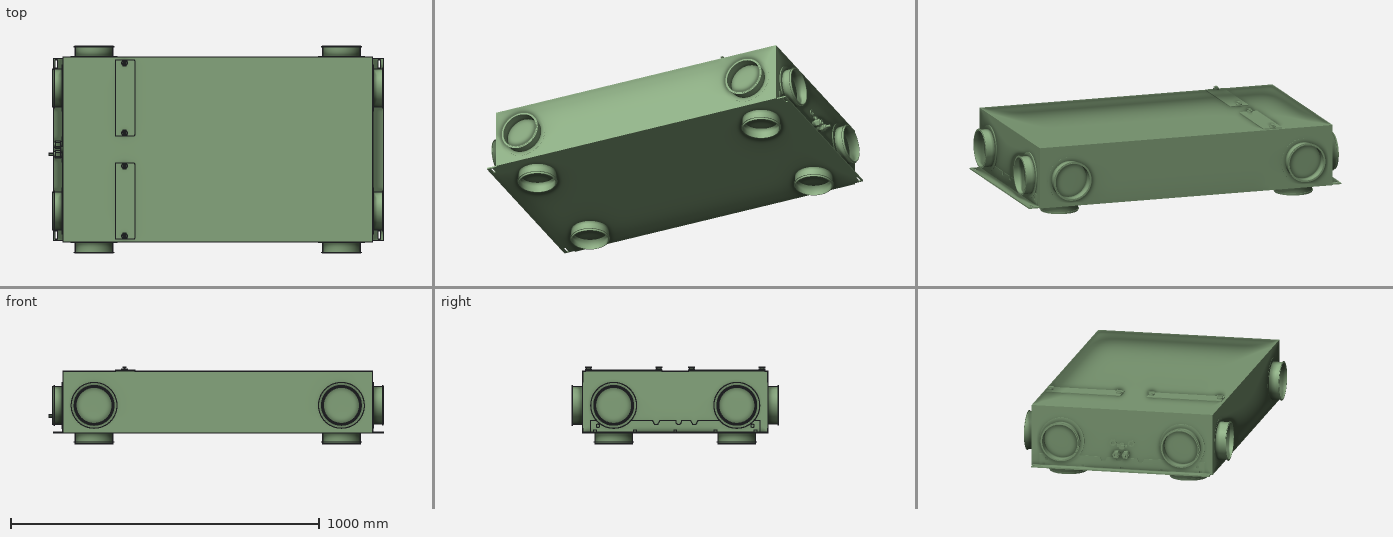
import cadquery as cq

body_length = 1003.0
body_width = 600.0
body_height = 200.0
end_x = body_length / 2
side_y = body_width / 2

duct_outer_d = 122.0
duct_inner_d = 117.0
duct_length = 35.0
bead_d = 129.0
bead_width = 1.0
near_bead_setback = 1.0
far_bead_setback = 5.0
collar_d = 149.0
side_collar_thickness = 0.5
end_collar_thickness = 3.0
duct_height = 90.0
duct_x = end_x - 101.0
duct_y = 199.0

flange_width = 590.0
flange_thickness = 4.0
flange_reach_left = 31.0
flange_reach_right = 36.0
upright_width = 547.0
upright_height = 41.0
upright_thickness = 2.0
slot_length = 26.0
slot_width = 8.0
slot_edge = 4.0
slot_offset = 22.0
relief_count = 5
relief_pitch = 130.0
relief_width = 9.0
relief_height = 11.0
screw_hole_d = 11.0
screw_hole_y = 250.0
screw_hole_z = 24.0
notch_y = 62.0
notch_width = 24.0
notch_floor_width = 11.0
notch_depth = 13.0
round_notch_y = 11.0
round_notch_width = 17.0

cover_length = 247.0
cover_width = 63.0
cover_thickness = 3.0
cover_corner_r = 5.0
cover_x = -end_x + 202.0
cover_y = 167.0
knob_x = cover_x - 2.0
knob_inset = 10.0
knob_base_d = 18.0
knob_base_height = 8.0
knob_height = 13.0
knob_stem = (4.0, 14.0)
knob_grip = (10.0, 20.0)
knob_grip_thickness = 1.0

gland_y = 15.7
gland_z = 55.0
gland_base_d = 21.0
gland_base_length = 8.0
gland_nut_d = 25.0
gland_nut_end = 25.0
gland_tip_d = 17.0
gland_tip_length = 31.0
gland_bore_d = 9.0
gland_bore_depth = 7.0
pipe_d = gland_bore_d
pipe_length = 45.0
port_y = 30.0
port_z = duct_height
port_d = 22.0
port_bore_d = 12.0
port_length = 3.0
plug_z = 80.0
plug_d = 22.0
plug_length = 7.0
plug_bar_width = 33.0
plug_bar_height = 8.0
plug_bar_length = 3.0
plug_grip_width = 17.0
plug_grip_height = 5.0
plug_grip_length = 9.0


def rod(origin, direction, diameter, length):
    """Cylinder from origin along direction."""
    return cq.Workplane(cq.Solid.makeCylinder(
        diameter / 2, length, cq.Vector(*origin), cq.Vector(*direction)))


def box(size, centre):
    return cq.Workplane("XY").box(*size).translate(centre)


def spigot(origin, direction, bead_setback, collar_thickness):
    """Open duct stub with a bead near its tip and an optional base collar."""
    bead_start = duct_length - bead_setback - bead_width
    bead_origin = cq.Vector(*origin) + cq.Vector(*direction) * bead_start
    stub = rod(origin, direction, duct_outer_d, duct_length)
    stub = stub.union(rod(bead_origin.toTuple(), direction, bead_d, bead_width))
    if collar_thickness:
        stub = stub.union(rod(origin, direction, collar_d, collar_thickness))
    return stub.cut(rod(origin, direction, duct_inner_d, duct_length))


def end_notch(y, floor_width):
    """Prism that opens the top edge of an upright, tapering to its floor."""
    floor_z = upright_height - notch_depth
    return (
        cq.Workplane("YZ")
        .polyline([
            (y - notch_width / 2, upright_height),
            (y - floor_width / 2, floor_z),
            (y + floor_width / 2, floor_z),
            (y + notch_width / 2, upright_height),
        ])
        .close()
        .extrude(upright_thickness)
    )


def bracket(reach):
    """Angle bracket standing against the plane X = 0 and reaching toward +X."""
    flange = box((reach, flange_width, flange_thickness), (reach / 2, 0, flange_thickness / 2))
    upright = box(
        (upright_thickness, upright_width, upright_height),
        (upright_thickness / 2, 0, upright_height / 2),
    )
    for index in range(relief_count):
        y = (index - (relief_count - 1) / 2) * relief_pitch
        upright = upright.cut(box(
            (upright_thickness, relief_width, relief_height),
            (upright_thickness / 2, y, relief_height / 2)))
    for side in (-1, 1):
        upright = upright.cut(rod(
            (0, side * screw_hole_y, screw_hole_z), (1, 0, 0), screw_hole_d, upright_thickness))
        upright = upright.cut(end_notch(side * notch_y, notch_floor_width))
        slot_y = side * (flange_width / 2 - slot_edge - slot_length / 2)
        flange = flange.cut(box(
            (slot_width, slot_length, flange_thickness),
            (slot_offset, slot_y, flange_thickness / 2)))
    round_notch = (
        cq.Workplane("YZ")
        .center(round_notch_y, upright_height)
        .slot2D(2 * notch_depth, round_notch_width, 90)
        .extrude(upright_thickness)
    )
    return flange.union(upright.cut(round_notch))


def cover(y):
    """Access cover with a wing knob near each end."""
    top = body_height
    plate = box(
        (cover_width, cover_length, cover_thickness), (cover_x, y, top + cover_thickness / 2))
    plate = plate.edges("|Z and >X").fillet(cover_corner_r)
    stem_height = knob_height - knob_grip_thickness
    for side in (-1, 1):
        knob_y = y + side * (cover_length / 2 - knob_inset)
        plate = plate.union(rod((knob_x, knob_y, top), (0, 0, 1), knob_base_d, knob_base_height))
        plate = plate.union(box((*knob_stem, stem_height), (knob_x, knob_y, top + stem_height / 2)))
        plate = plate.union(box(
            (*knob_grip, knob_grip_thickness),
            (knob_x, knob_y, top + knob_height - knob_grip_thickness / 2)))
    return plate


def gland(y):
    """Cable gland: round base, hexagon nut and round tip with a blind bore."""
    origin = (-end_x, y, gland_z)
    nut = (
        cq.Workplane("YZ", origin=(-end_x - gland_nut_end, y, gland_z))
        .polygon(6, gland_nut_d)
        .extrude(gland_nut_end - gland_base_length)
    )
    base = rod(origin, (-1, 0, 0), gland_base_d, gland_base_length)
    tip = rod(origin, (-1, 0, 0), gland_tip_d, gland_tip_length)
    bore = rod(
        (-end_x - gland_tip_length, y, gland_z), (1, 0, 0), gland_bore_d, gland_bore_depth)
    return base.union(nut).union(tip).cut(bore)


def port(y):
    """Shallow ring-shaped port."""
    ring = rod((-end_x, y, port_z), (-1, 0, 0), port_d, port_length)
    return ring.cut(rod((-end_x, y, port_z), (-1, 0, 0), port_bore_d, port_length))


result = box((body_length, body_width, body_height), (0, 0, body_height / 2))

result = result.union(bracket(flange_reach_right).translate((end_x, 0, 0)))
result = result.union(bracket(flange_reach_left).mirror("YZ").translate((-end_x, 0, 0)))

for x_side, end_bead_setback in ((-1, far_bead_setback), (1, near_bead_setback)):
    for y_side in (-1, 1):
        x = x_side * duct_x
        y = y_side * duct_y
        side_origin = (x, y_side * side_y, duct_height)
        end_origin = (x_side * end_x, y, duct_height)
        result = result.union(
            spigot(side_origin, (0, y_side, 0), near_bead_setback, side_collar_thickness))
        result = result.cut(rod(end_origin, (x_side, 0, 0), duct_inner_d, duct_length))
        result = result.union(
            spigot(end_origin, (x_side, 0, 0), end_bead_setback, end_collar_thickness))
        result = result.union(spigot((x, y, 0), (0, 0, -1), far_bead_setback, 0))

for side in (-1, 1):
    result = result.union(cover(side * cover_y))
    result = result.union(gland(side * gland_y))
    result = result.union(port(side * port_y))

result = result.union(rod((-end_x, -gland_y, gland_z), (-1, 0, 0), pipe_d, pipe_length))

result = result.union(rod((-end_x, 0, plug_z), (-1, 0, 0), plug_d, plug_length))
for length, width, height in (
    (plug_bar_length, plug_bar_width, plug_bar_height),
    (plug_grip_length, plug_grip_width, plug_grip_height),
):
    result = result.union(box((length, width, height), (-end_x - length / 2, 0, plug_z)))